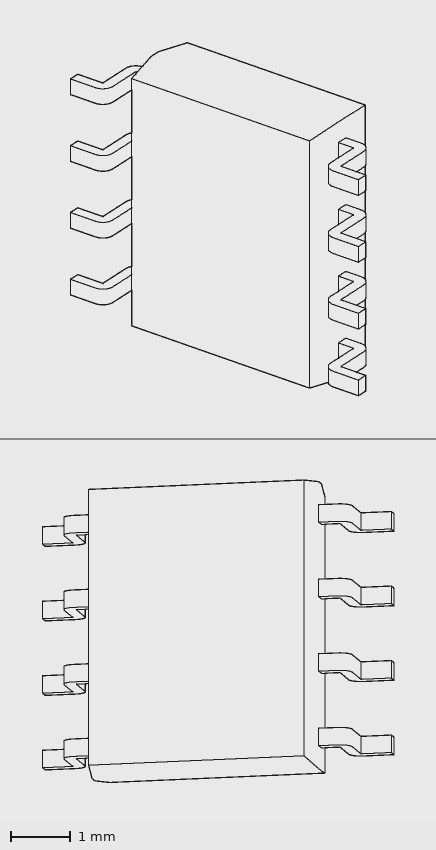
import cadquery as cq


overall_span = 6.0
housing_width = 3.9
housing_height = 4.9
standoff = 0.175

taper_depth = 0.685
taper_inset = 0.095

leads_per_side = 4
lead_pitch = 1.27
lead_width = 0.3
lead_thickness = 0.21
bend_radius = lead_thickness
foot_length = 0.73

band_bottom = standoff + taper_depth
band_top = band_bottom + lead_thickness
upright_inner_x = overall_span / 2 - foot_length
upright_outer_x = upright_inner_x + lead_thickness


def outline_wire(inset, y):
    """Housing outline in the plane at height y, shrunk by inset on every side."""
    half_width = housing_width / 2 - inset
    half_height = housing_height / 2 - inset
    corners = [
        cq.Vector(-half_width, y, -half_height),
        cq.Vector(half_width, y, -half_height),
        cq.Vector(half_width, y, half_height),
        cq.Vector(-half_width, y, half_height),
    ]
    return cq.Wire.makePolygon(corners, close=True)


def make_housing():
    """Straight middle band with a tapered half on each side of it."""
    lower_half = cq.Solid.makeLoft(
        [outline_wire(taper_inset, standoff), outline_wire(0, band_bottom)], True
    )
    band = cq.Solid.makeLoft([outline_wire(0, band_bottom), outline_wire(0, band_top)], True)
    upper_half = cq.Solid.makeLoft(
        [outline_wire(0, band_top), outline_wire(taper_inset, band_top + taper_depth)], True
    )
    housing = cq.Workplane(lower_half).union(cq.Workplane(band)).union(cq.Workplane(upper_half))
    return housing.solids()


def make_lead(side, center_z):
    """Gull-wing lead on the +X (side = 1) or -X (side = -1) face of the housing."""
    root_x = housing_width / 2
    tip_x = overall_span / 2
    lead = (
        cq.Workplane("XY", origin=(0, 0, center_z))
        .moveTo(root_x, band_top)
        .lineTo(upright_outer_x - bend_radius, band_top)
        .radiusArc((upright_outer_x, band_top - bend_radius), bend_radius)
        .lineTo(upright_outer_x, lead_thickness)
        .lineTo(tip_x, lead_thickness)
        .lineTo(tip_x, 0)
        .lineTo(upright_inner_x + bend_radius, 0)
        .radiusArc((upright_inner_x, bend_radius), bend_radius)
        .lineTo(upright_inner_x, band_bottom)
        .lineTo(root_x, band_bottom)
        .close()
        .extrude(lead_width / 2, both=True)
    )
    if side < 0:
        lead = lead.mirror("YZ")
    return lead.solids()


housing = make_housing()

leads = []
for side in (-1, 1):
    for index in range(leads_per_side):
        center_z = (index - (leads_per_side - 1) / 2) * lead_pitch
        leads.append(make_lead(side, center_z))

result = cq.Compound.makeCompound([housing.val(), *[lead.val() for lead in leads]])